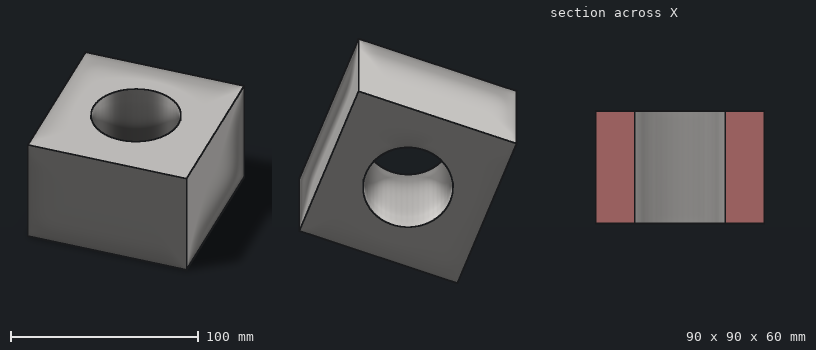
import cadquery as cq

side = 90
height = 60.0
bore_diameter = 48.0

block = cq.Workplane("XY").box(side, side, height)

result = block.faces(">Z").workplane().hole(bore_diameter)